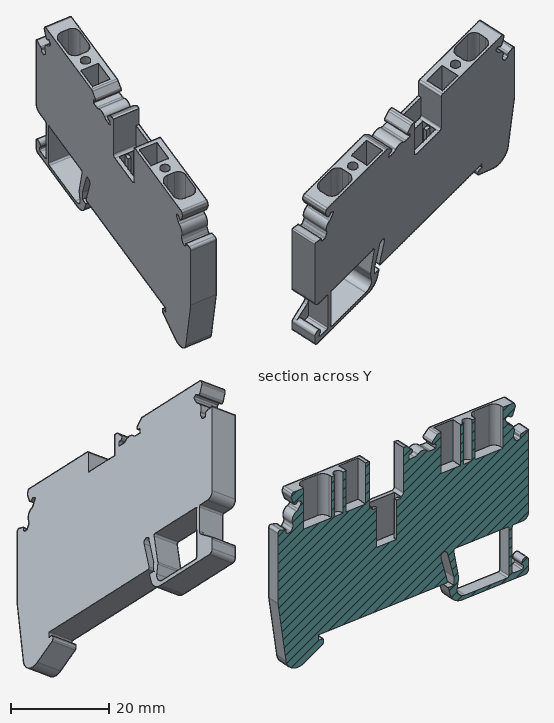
import cadquery as cq
import math


LENGTH = 65.0
WIDTH = 6.0
HEIGHT = 42.1
MIRROR_X = LENGTH / 2

FOOT_BOTTOM = 0.2
FOOT_FLOOR = 1.2
BODY_UNDERSIDE = 13.1
WALL_LEFT = 4.2
WALL_THICKNESS = 1.0
WALL_RIGHT = WALL_LEFT + WALL_THICKNESS
HOOK_RADIUS = 0.9
HOOK_TOP = 4.3
HOOK_NECK = 1.5
HOOK_FLOOR = 1.75
RAIL_FACE = 5.7
CLAW_LEDGE = 4.55
FOOT_TIP = 20.9
FIXED_CLAW_ROOT = 54.4
FIXED_CLAW_TIP = 53.1

SLOT_RADIUS = 0.81
SLOT_END = (21.9, 12.58)
SLOT_TILT = math.radians(15)
SPRING_KNEE = 6.6

WEB_THICKNESS = 0.9
WEB_TOP = 6.5
WEB_LOW = (0.45, 4.15)
WEB_FILLET = 1.05
WEB_OVERLAP = 0.45

WINDOW_LEFT = 32.5
WINDOW_RIGHT = 41.15
WINDOW_FLOOR = 30.75
WINDOW_RADIUS = 0.65
BACK_WALL_TOP = 37.25
BACK_WALL_THICKNESS = 0.7

GROOVE_CENTRE = 27.55
GROOVE_FLOOR = 38.8

POCKET_DEPTH = 9.75
POCKET_FRONT = 0.6
WIRE_POCKET_X = 10.3
WIRE_POCKET_LENGTH = 7.15
WIRE_POCKET_WIDTH = 4.95
WIRE_POCKET_RADIUS = 1.7
TEST_HOLE_X = 15.8
TEST_HOLE_Y = 2.76
TEST_HOLE_DIAMETER = 2.1
TOOL_POCKET_X = 20.2
TOOL_POCKET_LENGTH = 4.95
TOOL_POCKET_WIDTH = 4.1

BRIDGE_LEFT = 33.2
BRIDGE_RIGHT = 40.4
BRIDGE_FRONT = 1.0
BRIDGE_BACK = 4.3
TAB_LENGTH = 1.1
TAB_WIDTH = 0.8
TAB_Y = 2.7
TAB_DROP = 0.4

TOUCHING = 6.5e-07


def corner_arc(before, corner, after):
    """Start, middle and end of the tangent arc that rounds a corner."""
    x, z, radius = corner
    to_before = math.atan2(before[1] - z, before[0] - x)
    to_after = math.atan2(after[1] - z, after[0] - x)
    half = abs(math.remainder(to_after - to_before, 2 * math.pi)) / 2
    bisector = to_before + math.remainder(to_after - to_before, 2 * math.pi) / 2
    tangent = radius / math.tan(half)
    to_middle = radius / math.sin(half) - radius
    reaches = ((to_before, tangent), (bisector, to_middle), (to_after, tangent))
    return [(x + reach * math.cos(a), z + reach * math.sin(a)) for a, reach in reaches]


def rounded_prism(corners, y_start, y_end):
    """Extrude an XZ outline of (x, z, corner radius) from y_start to y_end."""
    path = cq.Workplane("XZ", origin=(0, y_start, 0))
    pen = None
    for i, corner in enumerate(corners):
        after = corners[(i + 1) % len(corners)]
        start, middle, end = corner_arc(corners[i - 1], corner, after)
        if pen is None:
            path = path.moveTo(*start)
        elif math.dist(pen, start) > TOUCHING:
            path = path.lineTo(*start)
        if corner[2] > 0:
            path = path.threePointArc(middle, end)
        pen = end
    return path.close().extrude(y_start - y_end)


def mirrored(corners, x_axis):
    """The corners reflected about a vertical line, in reverse order."""
    return [(2 * x_axis - x, z, radius) for x, z, radius in reversed(corners)]


def box(x_range, y_range, z_range):
    """Axis-aligned block between the given limits."""
    (x0, x1), (y0, y1), (z0, z1) = x_range, y_range, z_range
    return cq.Workplane("XY").box(x1 - x0, y1 - y0, z1 - z0, centered=False).translate((x0, y0, z0))


end_latch = [
    (2.2, 34.0, 0.4),
    (2.2, 32.9, 0.4),
    (3.25, 32.9, 0.25),
    (4.0, 34.1, 1.05),
    (3.2, 36.45, 1.95),
    (5.15, 37.4, 0.8),
    (6.2, 39.05, 0.3),
    (5.2, 39.5, 0.25),
    (4.4, 38.35, 0.5),
    (3.4, 41.15, 0.45),
    (3.8, HEIGHT, 0.5),
]
groove_left = [
    (23.5, HEIGHT, 0.65),
    (25.15, 40.55, 0.45),
    (24.8, 39.85, 0.3),
    (24.1, 39.85, 0.2),
    (24.1, GROOVE_FLOOR, 0),
    (25.95, GROOVE_FLOOR, 1.1),
]
groove_crest = [(GROOVE_CENTRE, 40.25, 1.8)]
bridge_window = [
    (WINDOW_LEFT, HEIGHT, 0),
    (WINDOW_LEFT, WINDOW_FLOOR, WINDOW_RADIUS),
    (WINDOW_RIGHT, WINDOW_FLOOR, WINDOW_RADIUS),
    (WINDOW_RIGHT, HEIGHT, 0.45),
]
fixed_claw = [
    (LENGTH, 17.15, 0),
    (62.3, -1.8, 3.2),
    (FIXED_CLAW_TIP, 3.25, 0.4),
    (FIXED_CLAW_TIP, CLAW_LEDGE, 0.45),
    (FIXED_CLAW_ROOT, CLAW_LEDGE, 0),
    (FIXED_CLAW_ROOT, RAIL_FACE, 0.1),
]


def slot_side(side, z):
    """X of the right (+1) or left (-1) flank of the slot at height z."""
    return SLOT_END[0] + side * SLOT_RADIUS / math.cos(SLOT_TILT) + (z - SLOT_END[1]) * math.tan(SLOT_TILT)


def slot_corner(side):
    """Right (+1) or left (-1) corner of the squared-off slot end."""
    z = SLOT_END[1] + SLOT_RADIUS * (math.cos(SLOT_TILT) - side * math.sin(SLOT_TILT))
    return (slot_side(side, z), z, SLOT_RADIUS)


spring_face = slot_side(-1, SPRING_KNEE)
spring_leg = [
    (slot_side(1, RAIL_FACE), RAIL_FACE, 0.4),
    slot_corner(1),
    slot_corner(-1),
    (spring_face, SPRING_KNEE, 0.3),
    (spring_face, CLAW_LEDGE, 0),
    (FOOT_TIP, CLAW_LEDGE, 0),
    (19.7, FOOT_BOTTOM, 3.25),
]
hook = [
    (0, FOOT_BOTTOM, 1.0),
    (0, HOOK_TOP, HOOK_RADIUS),
    (2 * HOOK_RADIUS, HOOK_TOP, HOOK_RADIUS),
    (2 * HOOK_RADIUS, 3.0, 0.25),
    (HOOK_NECK, 2.7, 0.25),
    (HOOK_NECK, HOOK_FLOOR, 0.3),
    (WALL_LEFT, HOOK_FLOOR, 0.3),
    (WALL_LEFT, BODY_UNDERSIDE, 0.4),
]
profile = (
    [(0, BODY_UNDERSIDE, 1.55), (0, 34.5, 0.25)]
    + end_latch
    + groove_left
    + groove_crest
    + mirrored(groove_left, GROOVE_CENTRE)
    + bridge_window
    + mirrored(end_latch, MIRROR_X)
    + [(LENGTH, 34.5, 0.6)]
    + fixed_claw
    + spring_leg
    + hook
)
foot_window = [
    (WALL_RIGHT, FOOT_FLOOR, 0.4),
    (WALL_RIGHT, BODY_UNDERSIDE, 0.2),
    (19.45, BODY_UNDERSIDE, 0.4),
    (18.1, 5.8, 1.3),
    (18.85, FOOT_FLOOR, 1.95),
]
body = rounded_prism(profile, 0, WIDTH).cut(rounded_prism(foot_window, 0, WIDTH))

web_inside = WALL_LEFT + WEB_OVERLAP
web = rounded_prism(
    [
        (*WEB_LOW, 0),
        (WALL_LEFT, WEB_TOP, WEB_FILLET),
        (WALL_LEFT, WEB_TOP + WEB_FILLET, 0),
        (web_inside, WEB_TOP + WEB_FILLET, 0),
        (web_inside, HOOK_FLOOR - WEB_OVERLAP, 0),
        (WEB_LOW[0], HOOK_FLOOR - WEB_OVERLAP, 0),
    ],
    WIDTH - WEB_THICKNESS,
    WIDTH,
)

back_wall = box(
    (WINDOW_LEFT - WINDOW_RADIUS, WINDOW_RIGHT + WINDOW_RADIUS),
    (WIDTH - BACK_WALL_THICKNESS, WIDTH),
    (WINDOW_FLOOR - WINDOW_RADIUS, BACK_WALL_TOP),
)
result = body.union(web).union(back_wall)


def entry_pockets():
    """Cutters for the left-hand wire pocket, test hole and tool pocket."""
    floor = HEIGHT - POCKET_DEPTH
    wire_y = POCKET_FRONT + WIRE_POCKET_WIDTH / 2
    tool_y = POCKET_FRONT + TOOL_POCKET_WIDTH / 2
    wire = (
        cq.Workplane("XY", origin=(WIRE_POCKET_X, wire_y, floor))
        .rect(WIRE_POCKET_LENGTH, WIRE_POCKET_WIDTH)
        .extrude(POCKET_DEPTH)
        .edges("|Z")
        .fillet(WIRE_POCKET_RADIUS)
    )
    test = (
        cq.Workplane("XY", origin=(TEST_HOLE_X, TEST_HOLE_Y, floor))
        .circle(TEST_HOLE_DIAMETER / 2)
        .extrude(POCKET_DEPTH)
    )
    tool = (
        cq.Workplane("XY", origin=(TOOL_POCKET_X, tool_y, floor))
        .rect(TOOL_POCKET_LENGTH, TOOL_POCKET_WIDTH)
        .extrude(POCKET_DEPTH)
    )
    return wire.add(test).add(tool).combine()


left_pockets = entry_pockets()
right_pockets = left_pockets.mirror("YZ", (MIRROR_X, 0, 0))
result = result.cut(left_pockets).cut(right_pockets)

bridge_floor = WINDOW_FLOOR - POCKET_DEPTH
bridge_pocket = box(
    (BRIDGE_LEFT, BRIDGE_RIGHT), (BRIDGE_FRONT, BRIDGE_BACK), (bridge_floor, WINDOW_FLOOR)
)
for tab_start in (BRIDGE_LEFT, BRIDGE_RIGHT - TAB_LENGTH):
    tab = box(
        (tab_start, tab_start + TAB_LENGTH),
        (TAB_Y - TAB_WIDTH / 2, TAB_Y + TAB_WIDTH / 2),
        (bridge_floor, WINDOW_FLOOR - TAB_DROP),
    )
    bridge_pocket = bridge_pocket.cut(tab)
result = result.cut(bridge_pocket)